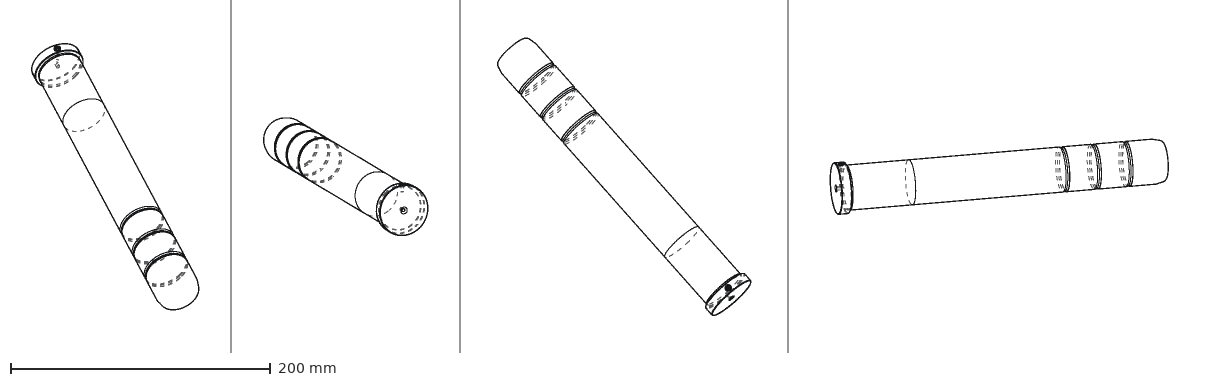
import cadquery as cq
import math

TOTAL_LENGTH = 260.0
HEAD_RADIUS = 20.0
HEAD_LENGTH = 8.0
HEAD_CHAMFER = 0.45
SHANK_RADIUS = 17.5

RELIEF_WIDTH = 1.5
RELIEF_DEPTH = 0.3

FIT_END = 59.0
FIT_OVERSIZE = 0.01

GROOVE_COUNT = 3
GROOVE_PITCH = 25.0
GROOVE_START = 178.0
GROOVE_WIDTH = 3.0
GROOVE_RAMP = GROOVE_WIDTH / 2
GROOVE_DEPTH = 0.5

NOSE_START = 251.5
NOSE_TAPER_ANGLE = 13.0
NOSE_ROUND = 3.5

CENTRE_MOUTH_RADIUS = 2.65
CENTRE_BORE_RADIUS = 1.25
CENTRE_CONE_ANGLE = 90.0
CENTRE_BORE_DEPTH = 5.5
DRILL_POINT_ANGLE = 120.0

RIM_HOLE_X = HEAD_LENGTH / 2
RIM_HOLE_STEPS = [(2.5, 1.0), (1.7, 2.0), (0.9, 6.0)]


def revolve_about_x(profile):
    """Turn a closed (x, radius) outline around the pin axis."""
    return profile.close().revolve(360, (0, 0, 0), (1, 0, 0))


def make_pin():
    """Headed pin with relief, fitted length and lead-in nose."""
    relief_radius = SHANK_RADIUS - RELIEF_DEPTH
    relief_end = HEAD_LENGTH + RELIEF_WIDTH
    fit_radius = SHANK_RADIUS + FIT_OVERSIZE
    taper_angle = math.radians(NOSE_TAPER_ANGLE)
    round_angle = (taper_angle + math.pi / 2) / 2
    round_centre_x = TOTAL_LENGTH - NOSE_ROUND
    taper_end = round_centre_x + NOSE_ROUND * math.sin(taper_angle)
    taper_radius = SHANK_RADIUS - (taper_end - NOSE_START) * math.tan(taper_angle)
    face_radius = taper_radius - NOSE_ROUND * math.cos(taper_angle)
    round_middle = (
        round_centre_x + NOSE_ROUND * math.sin(round_angle),
        face_radius + NOSE_ROUND * math.cos(round_angle),
    )
    outline = (
        cq.Workplane("XZ")
        .lineTo(0, HEAD_RADIUS - HEAD_CHAMFER)
        .lineTo(HEAD_CHAMFER, HEAD_RADIUS)
        .lineTo(HEAD_LENGTH - HEAD_CHAMFER, HEAD_RADIUS)
        .lineTo(HEAD_LENGTH, HEAD_RADIUS - HEAD_CHAMFER)
        .lineTo(HEAD_LENGTH, relief_radius)
        .lineTo(relief_end, relief_radius)
        .lineTo(relief_end, fit_radius)
        .lineTo(FIT_END, fit_radius)
        .lineTo(FIT_END, SHANK_RADIUS)
        .lineTo(NOSE_START, SHANK_RADIUS)
        .lineTo(taper_end, taper_radius)
        .threePointArc(round_middle, (TOTAL_LENGTH, face_radius))
        .lineTo(TOTAL_LENGTH, 0)
    )
    return revolve_about_x(outline)


def make_groove(start):
    """Ring that ramps down, runs level and ends in a square wall."""
    floor_radius = SHANK_RADIUS - GROOVE_DEPTH
    outline = (
        cq.Workplane("XZ")
        .moveTo(start, SHANK_RADIUS)
        .lineTo(start + GROOVE_RAMP, floor_radius)
        .lineTo(start + GROOVE_WIDTH, floor_radius)
        .lineTo(start + GROOVE_WIDTH, SHANK_RADIUS)
    )
    return revolve_about_x(outline)


def make_centre_hole():
    """Countersunk blind hole along the pin axis, ending in a drill point."""
    cone_depth = (CENTRE_MOUTH_RADIUS - CENTRE_BORE_RADIUS) / math.tan(math.radians(CENTRE_CONE_ANGLE / 2))
    point_depth = CENTRE_BORE_RADIUS / math.tan(math.radians(DRILL_POINT_ANGLE / 2))
    outline = (
        cq.Workplane("XZ")
        .lineTo(0, CENTRE_MOUTH_RADIUS)
        .lineTo(cone_depth, CENTRE_BORE_RADIUS)
        .lineTo(CENTRE_BORE_DEPTH, CENTRE_BORE_RADIUS)
        .lineTo(CENTRE_BORE_DEPTH + point_depth, 0)
    )
    return revolve_about_x(outline)


def make_rim_step(radius, depth):
    """Cylinder sunk radially into the head from its topmost line."""
    floor = HEAD_RADIUS - depth
    return cq.Workplane("XY", origin=(RIM_HOLE_X, 0, floor)).circle(radius).extrude(depth)


result = make_pin()
for index in range(GROOVE_COUNT):
    result = result.cut(make_groove(GROOVE_START + index * GROOVE_PITCH))
result = result.cut(make_centre_hole())
for step_radius, step_depth in RIM_HOLE_STEPS:
    result = result.cut(make_rim_step(step_radius, step_depth))